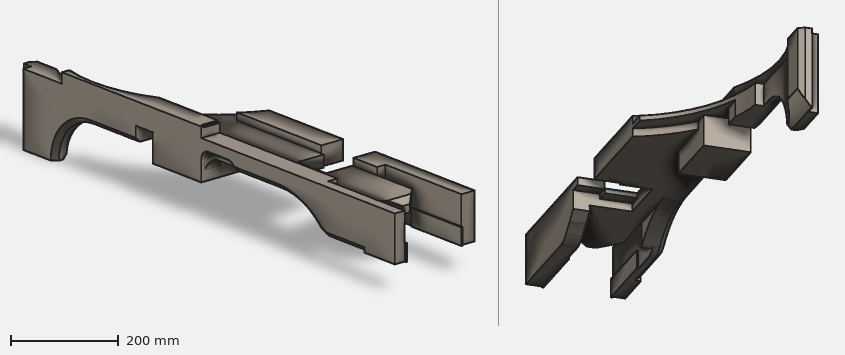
import cadquery as cq
import math

length = 1080.0
width = 195.0
height = 183.0
margin = 54.0

rail_top = 160.0
plate_top = 144.0
plate_bottom = 134.0
core_bottom = 118.0
block_bottom = 72.0
rail_bottom = 59.0

wall_thick = 45.0
raised_start = 131.0
raised_end = 527.0
back_scoop_x = 208.0
back_scoop_radius = 308.0
back_scoop_min_wall = 9.0
notch_length = 6.0
notch_front = 6.0
notch_depth = 3.0

tongue_front = 19.0
tongue_length = 22.0
tongue_bevel_x = 8.0
tongue_bevel_y = 12.0
tail_bottom_back = 20.0
tail_round_mid = (35.0, 17.0)
tail_round_height = 38.0

chamfer = 11.0
tail_arch_x = 210.0
tail_arch_radius = 99.0
slot_start = 340.0
slot_end = 389.0
block_depth = 93.0
block_corner_radius = 22.0
belly_start = 742.0
belly_end = 887.0
belly_bottom_radius = 43.0
chamfer_end = 990.0

finger_end = 622.0
finger_depth = 22.0
finger_top = 138.0
finger_corner_radius = 20.0
finger_back_radius = 14.0

sweep_x = 206.0
sweep_y = 322.0
sweep_radius = 278.0
sweep_start = 238.0
core_setback = 36.0
strip_front = 143.0
ledge_depth = 29.0
ledge_start = 86.0
web_depth = 62.0
plate_slot_start = 710.0
plate_slot_end = 791.0
plate_slot_floor = 79.0
strip_slot_start = 703.0
strip_slot_end = 794.0

rail_end = 1077.0
gap_start = 861.0
near_rail_thick = 24.0
far_rail_front = 163.0
far_leg_start = 819.0
far_leg_height = 106.0
nose_shoulder = 960.0
nose_tip = 1000.0
nose_bevel_start = 980.0
nose_bevel_drop = 10.0
pad_start = 939.0
pad_height = 37.0
pad_thick = 3.0


def box(x_range, y_range, z_range):
    """Box from its limits along each axis."""
    size = [high - low for low, high in (x_range, y_range, z_range)]
    corner = (x_range[0], y_range[0], z_range[0])
    return cq.Workplane("XY").box(*size, centered=False).translate(corner)


def side_plane(y):
    """Plane facing the front at depth y, with local axes along X and Z."""
    return cq.Workplane("XZ", origin=(0, y, 0))


def tail_arch(sketch, grow):
    """Quarter-round opening behind the tail, enlarged by grow."""
    radius = tail_arch_radius + grow
    diagonal = radius * math.sqrt(0.5)
    return (
        sketch.moveTo(tail_arch_x - radius, -margin)
        .lineTo(tail_arch_x - radius, 0)
        .threePointArc((tail_arch_x - diagonal, diagonal), (tail_arch_x, radius))
        .lineTo(slot_start + chamfer, radius)
        .lineTo(slot_start + chamfer, -margin)
        .close()
    )


def long_opening(sketch, grow):
    """Opening from the block to the rail bottom, enlarged by grow."""
    drop = core_bottom - rail_bottom
    run = belly_end - belly_start
    slope = 2 * math.atan(drop / run)
    big_radius = run / math.sin(slope) - belly_bottom_radius + grow
    small_radius = belly_bottom_radius - grow
    big_centre_z = core_bottom + grow - big_radius
    small_centre_z = rail_bottom + grow + small_radius

    def on_big(angle):
        return (belly_start + big_radius * math.sin(angle),
                big_centre_z + big_radius * math.cos(angle))

    def on_small(angle):
        return (belly_end - small_radius * math.sin(angle),
                small_centre_z - small_radius * math.cos(angle))

    return (
        sketch.moveTo(raised_end, -margin)
        .lineTo(raised_end, core_bottom + grow)
        .lineTo(belly_start, core_bottom + grow)
        .threePointArc(on_big(slope / 2), on_big(slope))
        .threePointArc(on_small(slope / 2), on_small(0))
        .lineTo(length + margin, rail_bottom + grow)
        .lineTo(length + margin, -margin)
        .close()
    )


def chamfered_mouth(outline):
    """Tapered front of an opening, widest at the front face."""
    front = outline(side_plane(0), chamfer)
    back = outline(front.workplane(offset=-chamfer), 0)
    return back.loft(ruled=True, combine=True)


def finger_scoop():
    """Round-cornered hollow, opening to the front and below."""
    scoop = box((raised_end, finger_end), (-margin, finger_depth), (0, finger_top))
    scoop = scoop.edges("|Y and >Z").fillet(finger_corner_radius)
    return scoop.faces(">Y").edges("not <Z").fillet(finger_back_radius)


def near_wall():
    wall = box((0, rail_end), (0, wall_thick), (0, rail_top))
    wall = wall.union(box((raised_start, raised_end), (0, wall_thick), (0, height)))
    notch_x = (raised_end - notch_length, raised_end)
    wall = wall.cut(box(notch_x, (notch_front, wall_thick), (height - notch_depth, height)))

    back_scoop = (
        cq.Workplane("XY")
        .center(back_scoop_x, back_scoop_min_wall + back_scoop_radius)
        .circle(back_scoop_radius)
        .extrude(height)
    )
    wall = wall.cut(back_scoop)
    ledge = box((ledge_start, sweep_start), (0, ledge_depth), (0, plate_top))
    wall = wall.union(ledge)

    wall = wall.cut(box((0, tongue_length), (0, tongue_front), (0, rail_top)))
    bevel = (
        cq.Workplane("XY")
        .moveTo(0, wall_thick)
        .lineTo(tongue_bevel_x, wall_thick)
        .lineTo(0, wall_thick - tongue_bevel_y)
        .close()
        .extrude(rail_top)
    )
    tail_round = (
        cq.Workplane("YZ")
        .moveTo(tail_bottom_back, 0)
        .threePointArc(tail_round_mid, (wall_thick, tail_round_height))
        .lineTo(wall_thick, 0)
        .close()
        .extrude(tail_arch_x)
    )
    wall = wall.cut(bevel).cut(tail_round)

    return wall.cut(box((gap_start, length), (near_rail_thick, wall_thick), (0, rail_top)))


def swept_area(setback, y_range, z_range):
    """Slab up to the gap, bounded at the tail by the curved plate edge set back."""
    slab = box((sweep_start, gap_start), y_range, z_range)
    edge = (
        cq.Workplane("XY", origin=(0, 0, z_range[0]))
        .center(sweep_x, sweep_y)
        .circle(sweep_radius + setback)
        .extrude(z_range[1] - z_range[0])
    )
    return slab.cut(edge)


def plate():
    thin = swept_area(0, (0, width), (plate_bottom, plate_top))
    core = swept_area(core_setback, (0, width), (core_bottom, plate_bottom))
    core = core.cut(box((0, slot_end), (0, width), (core_bottom, plate_bottom)))
    web = swept_area(0, (0, web_depth), (tail_arch_radius, plate_top))
    web = web.cut(box((slot_start, length), (0, width), (0, plate_bottom)))
    block = box((slot_end, raised_end), (0, block_depth), (block_bottom, plate_bottom))
    return thin.union(core).union(web).union(block)


def nose():
    """Pointed end of the plate between the rails."""
    reach = nose_tip - nose_shoulder
    outline = (
        cq.Workplane("XY", origin=(0, 0, core_bottom))
        .moveTo(gap_start - margin, wall_thick)
        .lineTo(nose_shoulder, wall_thick)
        .lineTo(nose_tip, wall_thick + reach)
        .lineTo(nose_tip, strip_front - reach)
        .lineTo(nose_shoulder, strip_front)
        .lineTo(gap_start - margin, strip_front)
        .close()
        .extrude(plate_top - core_bottom)
    )
    bevel = (
        side_plane(width)
        .moveTo(nose_bevel_start, plate_top)
        .lineTo(nose_tip, plate_top)
        .lineTo(nose_tip, plate_top - nose_bevel_drop)
        .close()
        .extrude(width)
    )
    return outline.cut(bevel)


def far_strip_and_rail():
    strip = swept_area(core_setback, (strip_front, width), (plate_bottom, rail_top))
    rail = box((far_leg_start, rail_end), (far_rail_front, width), (0, rail_top))
    slope_run = far_leg_height - rail_bottom
    below_slope = (
        side_plane(width)
        .moveTo(far_leg_start, far_leg_height)
        .lineTo(far_leg_start + slope_run, rail_bottom)
        .lineTo(far_leg_start, rail_bottom)
        .close()
        .extrude(width - far_rail_front)
    )
    return strip.union(rail.cut(below_slope))


def rail_pads():
    """Raised pads on the facing sides of the two rails."""
    z_range = (rail_bottom, rail_bottom + pad_height)
    near_pad = box((pad_start, length), (near_rail_thick, near_rail_thick + pad_thick), z_range)
    far_pad = box((pad_start, length), (far_rail_front - pad_thick, far_rail_front), z_range)
    return near_pad.union(far_pad)


body = near_wall().union(plate()).union(nose()).union(far_strip_and_rail())

inner_y = (plate_slot_floor, width)
outer_y = (strip_front, width)
body = body.cut(box((plate_slot_start, plate_slot_end), inner_y, (0, height)))
body = body.cut(box((strip_slot_start, strip_slot_end), outer_y, (0, height)))
body = body.cut(box((plate_slot_start, far_leg_start), inner_y, (0, plate_bottom)))
body = body.cut(box((plate_slot_start, far_leg_start), outer_y, (0, plate_top)))

body = body.cut(tail_arch(side_plane(width), 0).extrude(width))
body = body.cut(box((slot_start, slot_end), (0, width), (0, plate_bottom)))
body = body.cut(box((slot_start, raised_end), (0, width), (0, block_bottom)))
through = long_opening(side_plane(width), 0).extrude(width)
block_corner = cq.selectors.NearestToPointSelector((raised_end, width / 2, core_bottom))
body = body.cut(through.edges("|Y").edges(block_corner).fillet(block_corner_radius))

body = body.cut(chamfered_mouth(tail_arch))
chamfer_reach = box((finger_end - chamfer, chamfer_end), (0, chamfer), (0, height))
body = body.cut(chamfered_mouth(long_opening).intersect(chamfer_reach))
body = body.cut(finger_scoop())

result = body.union(rail_pads())